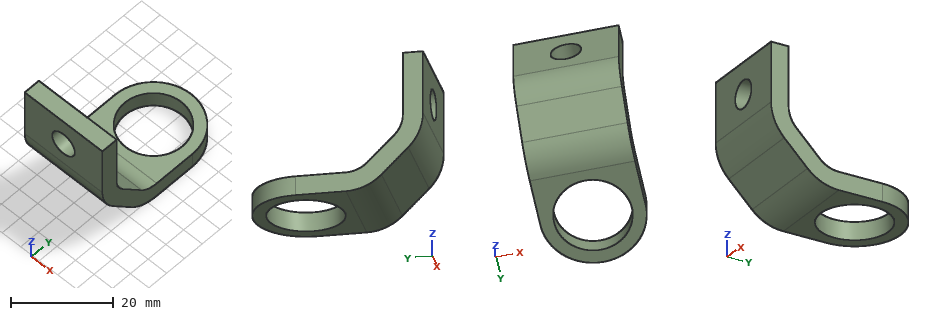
import cadquery as cq
import math

width = 21.0
thickness = 4.0

bend_angle = math.radians(45)
inner_radius = 6.0
outer_radius = inner_radius + thickness
web_length = 7.51

ring_radius = width / 2
ring_bore = 15.5
ring_to_bend = 10.0

leg_height = 13.07
leg_hole_diameter = 6.1
leg_hole_from_top = 7.0

bend_sin = math.sin(bend_angle)
bend_cos = math.cos(bend_angle)
lower_centre = (-ring_to_bend, outer_radius)
upper_centre = (
    lower_centre[0] - web_length * bend_cos,
    lower_centre[1] + web_length * bend_sin,
)
leg_face_y = upper_centre[0] - outer_radius
leg_top = upper_centre[1] + leg_height


def bend_point(centre, radius, angle):
    """Point on a bend, with the angle turned from straight down toward -Y."""
    return (
        centre[0] - radius * math.sin(angle),
        centre[1] - radius * math.cos(angle),
    )


def make_bent_strip():
    """Side profile of the strip, extruded symmetrically across its width."""
    lower_middle = bend_angle / 2
    upright_angle = math.pi / 2
    upper_middle = (bend_angle + upright_angle) / 2
    profile = (
        cq.Workplane("YZ")
        .moveTo(ring_radius, 0)
        .lineTo(*bend_point(lower_centre, outer_radius, 0))
        .threePointArc(
            bend_point(lower_centre, outer_radius, lower_middle),
            bend_point(lower_centre, outer_radius, bend_angle),
        )
        .lineTo(*bend_point(upper_centre, outer_radius, bend_angle))
        .threePointArc(
            bend_point(upper_centre, outer_radius, upper_middle),
            bend_point(upper_centre, outer_radius, upright_angle),
        )
        .lineTo(leg_face_y, leg_top)
        .lineTo(leg_face_y + thickness, leg_top)
        .lineTo(*bend_point(upper_centre, inner_radius, upright_angle))
        .threePointArc(
            bend_point(upper_centre, inner_radius, upper_middle),
            bend_point(upper_centre, inner_radius, bend_angle),
        )
        .lineTo(*bend_point(lower_centre, inner_radius, bend_angle))
        .threePointArc(
            bend_point(lower_centre, inner_radius, lower_middle),
            bend_point(lower_centre, inner_radius, 0),
        )
        .lineTo(ring_radius, thickness)
        .close()
    )
    return profile.extrude(width / 2, both=True)


def make_plan_outline():
    """Prism that rounds the ring end and leaves the rest of the strip full width."""
    return (
        cq.Workplane("XY")
        .moveTo(-ring_radius, leg_face_y)
        .lineTo(ring_radius, leg_face_y)
        .lineTo(ring_radius, 0)
        .threePointArc((0, ring_radius), (-ring_radius, 0))
        .close()
        .extrude(leg_top)
    )


def make_ring_bore():
    return cq.Workplane("XY").circle(ring_bore / 2).extrude(thickness)


def make_leg_hole():
    return (
        cq.Workplane("XZ", origin=(0, leg_face_y, leg_top - leg_hole_from_top))
        .circle(leg_hole_diameter / 2)
        .extrude(-thickness)
    )


result = (
    make_bent_strip()
    .intersect(make_plan_outline())
    .cut(make_ring_bore())
    .cut(make_leg_hole())
)